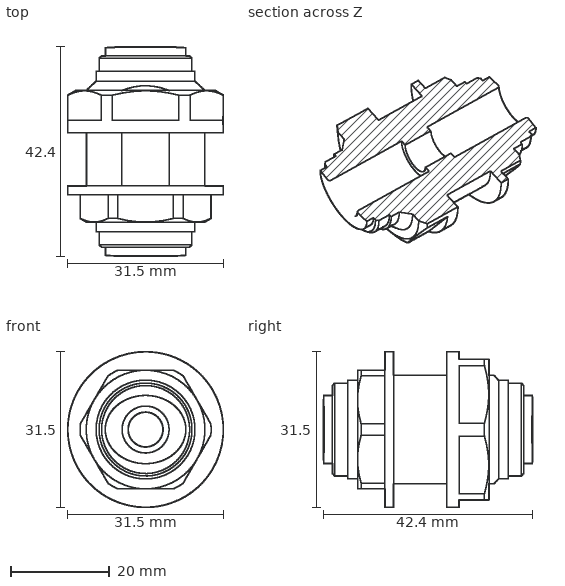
import cadquery as cq
import math


body_radius = 12.0
body_flat_height = 11.0

collar_radius = 10.0
collar_start = 14.25
collar_length = 2.0
ring_radius = 9.4
ring_length = 3.1
ring_chamfer = 0.5
overall_length = 42.4

sleeve_half_width = 8.15
sleeve_half_height = 6.9
sleeve_face_drop = 0.2

through_radius = 3.5
tube_radius = 4.75
tube_depth = 18.0
tube_rounding = 0.5

front_nut_flats = 24.0
front_nut_corners = 26.5
front_nut_length = 5.5
front_nut_face_radius = 12.0
washer_radius = 15.75
washer_thickness = 1.8

rear_nut_flats = 28.5
rear_nut_corners = 31.5
rear_nut_length = 6.05
rear_nut_face_y = 12.35
rear_nut_face_radius = 14.1
flange_thickness = 2.55

nut_chamfer_angle = math.radians(30)
hexagon_half_angle = math.radians(30)

end = overall_length / 2
collar_end = collar_start + collar_length
ring_end = collar_end + ring_length
front_nut_face_y = -collar_start
washer_front_y = front_nut_face_y + front_nut_length
washer_back_y = washer_front_y + washer_thickness
flange_back_y = rear_nut_face_y - rear_nut_length
flange_front_y = flange_back_y - flange_thickness


def turned(profile):
    """Solid of revolution about Y from (radius, y) points, closed along the axis."""
    points = [(0, profile[0][1])] + [(-radius, y) for radius, y in profile] + [(0, profile[-1][1])]
    return cq.Workplane("XY").polyline(points).close().revolve(360, (0, 0, 0), (0, 1, 0))


def along_y(start_y):
    """Workplane across the axis at start_y; extrusions from it grow toward -Y."""
    return cq.Workplane("XZ", origin=(0, start_y, 0))


def make_body():
    """Threaded body with two long flats, tapering to the collar behind the rear nut."""
    blank = turned([
        (body_radius, washer_back_y),
        (body_radius, rear_nut_face_y),
        (collar_radius, collar_start),
    ])
    length = collar_start - washer_back_y
    flats = along_y(collar_start).rect(2 * body_radius, 2 * body_flat_height).extrude(length)
    return blank.intersect(flats)


def make_nut(across_flats, corners, face_radius, inner_y, face_y):
    """Hexagonal nut with flats facing +Z and -Z, turned corners and a chamfered outer face."""
    corner_radius = corners / 2
    outward = math.copysign(1, face_y - inner_y)
    chamfer = (corner_radius - face_radius) * math.tan(nut_chamfer_angle)
    blank = turned([
        (corner_radius, inner_y),
        (corner_radius, face_y - outward * chamfer),
        (face_radius, face_y),
    ])
    hexagon = (
        along_y(max(inner_y, face_y))
        .polygon(6, across_flats / math.cos(hexagon_half_angle))
        .extrude(abs(face_y - inner_y))
    )
    return blank.intersect(hexagon)


def make_disc(radius, front_y, back_y):
    """Plain cylinder on the axis."""
    return turned([(radius, front_y), (radius, back_y)])


def make_sleeve():
    """Oval sleeve on the rear end, its end face a shallow cone around the bore."""
    rim_radius = tube_radius + tube_rounding
    oval = along_y(end).ellipse(sleeve_half_width, sleeve_half_height).extrude(end - collar_end)
    cone = turned([
        (sleeve_half_width, collar_end),
        (sleeve_half_width, end - sleeve_face_drop),
        (rim_radius, end),
    ])
    return oval.intersect(cone)


def make_end():
    """Rear end: collar, chamfered ring and oval sleeve."""
    steps = turned([
        (collar_radius, collar_start),
        (collar_radius, collar_end),
        (ring_radius, collar_end),
        (ring_radius, ring_end - ring_chamfer),
        (ring_radius - ring_chamfer, ring_end),
    ])
    return steps.union(make_sleeve())


def make_half_bore():
    """Rear half of the through hole, widened into a tube socket with a rounded mouth."""
    rounding_start = end - tube_rounding
    diagonal = tube_rounding * math.sqrt(0.5)
    mouth_radius = tube_radius + tube_rounding
    socket = (
        cq.Workplane("XY")
        .moveTo(0, 0)
        .lineTo(-through_radius, 0)
        .lineTo(-through_radius, end - tube_depth)
        .lineTo(-tube_radius, end - tube_depth)
        .lineTo(-tube_radius, rounding_start)
        .threePointArc((diagonal - mouth_radius, rounding_start + diagonal), (-mouth_radius, end))
        .lineTo(0, end)
        .close()
    )
    return socket.revolve(360, (0, 0, 0), (0, 1, 0))


rear_end = make_end()
front_end = rear_end.mirror("XZ")
rear_bore = make_half_bore()
front_bore = rear_bore.mirror("XZ")
front_nut = make_nut(
    front_nut_flats, front_nut_corners, front_nut_face_radius, washer_front_y, front_nut_face_y
)
rear_nut = make_nut(
    rear_nut_flats, rear_nut_corners, rear_nut_face_radius, flange_back_y, rear_nut_face_y
)

flange = make_disc(rear_nut_corners / 2, flange_front_y, flange_back_y)
thread_hole = make_disc(body_radius, flange_front_y, rear_nut_face_y)

flanged_nut = rear_nut.union(flange).cut(thread_hole)

result = (
    make_body()
    .union(flanged_nut)
    .union(make_disc(washer_radius, washer_front_y, washer_back_y))
    .union(front_nut)
    .union(rear_end)
    .union(front_end)
    .cut(rear_bore)
    .cut(front_bore)
)